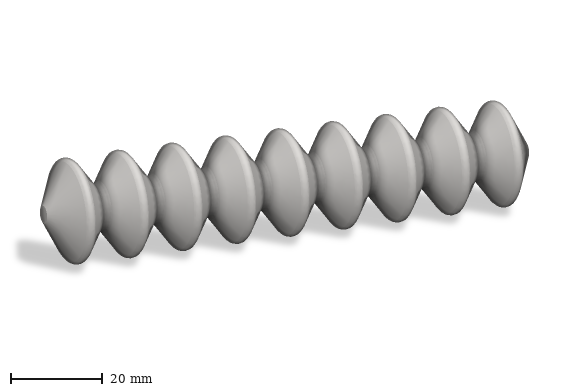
import cadquery as cq

length = 114.3
ridge_count = 9
end_diameter = 4.0
sharp_crest_radius = 12.7
sharp_neck_radius = 4.6
rounding_radius = 1.3

pitch = length / ridge_count
half_length = length / 2


def half_profile():
    """Sharp zigzag outline from the axis out to the cones, in the XY plane."""
    points = [(0, -half_length), (end_diameter / 2, -half_length)]
    for ridge in range(ridge_count):
        crest_y = -half_length + (ridge + 0.5) * pitch
        points.append((sharp_crest_radius, crest_y))
        if ridge < ridge_count - 1:
            points.append((sharp_neck_radius, crest_y + pitch / 2))
    points.append((end_diameter / 2, half_length))
    points.append((0, half_length))
    return cq.Workplane("XY").polyline(points).close()


sharp_roller = half_profile().revolve(360, (0, 0, 0), (0, 1, 0))

crests_and_necks = sharp_roller.edges("%CIRCLE").edges("not(<Y or >Y)")
result = crests_and_necks.fillet(rounding_radius)